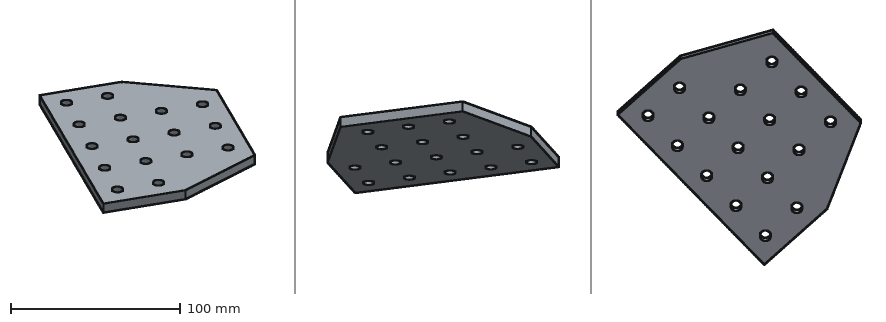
import cadquery as cq

pitch = 25.4
wide_columns = 5
narrow_columns = 3
rows = 4
wide_rows = 2
thickness = 6.4
hole_diameter = 6.5

width = wide_columns * pitch
top_width = narrow_columns * pitch
depth = rows * pitch
shoulder_y = wide_rows * pitch - depth / 2


def plate():
    """Flat plate with a full-width base that tapers to a narrower far edge."""
    outline = [
        (-width / 2, -depth / 2),
        (width / 2, -depth / 2),
        (width / 2, shoulder_y),
        (top_width / 2, depth / 2),
        (-top_width / 2, depth / 2),
        (-width / 2, shoulder_y),
    ]
    return cq.Workplane("XY").polyline(outline).close().extrude(thickness)


def hole_centers():
    """Grid points: wide rows near the base, narrow rows in the tapered part."""
    centers = []
    for row in range(rows):
        columns = wide_columns if row < wide_rows else narrow_columns
        y = (row - (rows - 1) / 2) * pitch
        for column in range(columns):
            x = (column - (columns - 1) / 2) * pitch
            centers.append((x, y))
    return centers


result = plate().faces(">Z").workplane(origin=(0, 0, thickness)).pushPoints(hole_centers()).hole(hole_diameter)